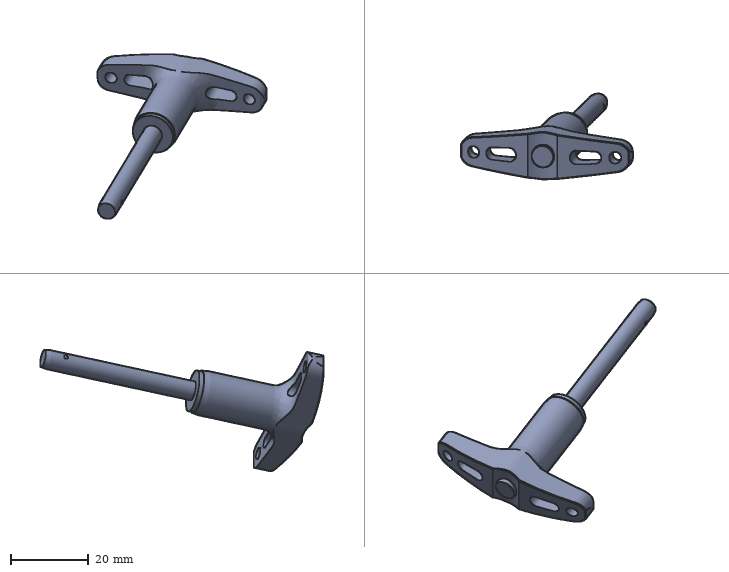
import cadquery as cq
import math

total_length = 72.6

pin_radius = 2.55
tip_radius = 2.3
tip_taper_length = 1.45
ball_radius = 0.8
ball_projection = 0.2
ball_y = 5.45

collar_radius = 5.45
collar_start = 40.95
barrel_radius = 5.9
barrel_start = 42.2
barrel_start_radius = 5.65
barrel_taper_end = 43.85
flare_radius = 4.3
barrel_top = 68.25

handle_width = 45.2
handle_half_length = handle_width / 2
hub_radius = 6.3
grip_end_radius = 3.9
grip_end_x = handle_half_length - grip_end_radius

crown_radius = 80.6
crown_y = 72.4
underside_y = 65.9
underside_outer_y = 65.05
end_corner_radius = 1.1
end_top_x = 22.2
groove_half_width = 3.9
groove_bottom_y = 71.4
top_edge_break = 0.2

hole_radius = 1.5
slot_inner_x = 8.9
slot_inner_radius = 1.8
slot_outer_x = 13.6
slot_outer_radius = 1.6

button_radius = 3.0
button_face_radius = 2.8
button_taper_length = 0.65


def crown_height(x):
    """Y of the crowned grip surface at a distance x from the pin axis."""
    return crown_y - crown_radius + math.sqrt(crown_radius**2 - x**2)


def tapered_outline(start_x, start_radius, end_x, end_radius):
    """XZ outline of two circles on the X axis joined by their common tangents."""
    sine = (start_radius - end_radius) / (end_x - start_x)
    cosine = math.sqrt(1 - sine**2)
    start_tangent = (start_x + start_radius * sine, start_radius * cosine)
    end_tangent = (end_x + end_radius * sine, end_radius * cosine)
    return (
        cq.Workplane("XZ")
        .moveTo(*start_tangent)
        .lineTo(*end_tangent)
        .threePointArc((end_x + end_radius, 0), (end_tangent[0], -end_tangent[1]))
        .lineTo(start_tangent[0], -start_tangent[1])
        .threePointArc((start_x - start_radius, 0), start_tangent)
        .close()
    )


def both_sides(shape):
    """The shape together with its mirror image across the YZ plane."""
    return shape.union(shape.mirror("YZ"))


def make_handle_profile():
    """XY profile with a crowned, grooved top and an arched underside, wider than the handle."""
    mid_x = (groove_half_width + end_top_x) / 2
    crown_mid = (mid_x, crown_height(mid_x))
    crown_end = (end_top_x, crown_height(end_top_x))
    groove_edge = (groove_half_width, crown_height(groove_half_width))
    corner_y = underside_outer_y + end_corner_radius
    underside_outer_x = handle_half_length - end_corner_radius
    return (
        cq.Workplane("XY")
        .moveTo(-groove_edge[0], groove_edge[1])
        .threePointArc((0, groove_bottom_y), groove_edge)
        .threePointArc(crown_mid, crown_end)
        .lineTo(handle_half_length, corner_y)
        .radiusArc((underside_outer_x, underside_outer_y), end_corner_radius)
        .threePointArc((0, underside_y), (-underside_outer_x, underside_outer_y))
        .radiusArc((-handle_half_length, corner_y), end_corner_radius)
        .lineTo(-crown_end[0], crown_end[1])
        .threePointArc((-crown_mid[0], crown_mid[1]), (-groove_edge[0], groove_edge[1]))
        .close()
        .extrude(handle_half_length, both=True)
    )


def make_handle():
    """Handle flared into the barrel, cut to its tapered outline, with the top edges broken."""
    profile = make_handle_profile().union(make_turned_body())
    joint_reach = barrel_radius + flare_radius
    barrel_joint = cq.selectors.BoxSelector(
        (-joint_reach, underside_outer_y, -joint_reach),
        (joint_reach, barrel_top, joint_reach),
        boundingbox=True,
    )
    profile = profile.edges(barrel_joint).fillet(flare_radius)

    outline = both_sides(tapered_outline(0, hub_radius, grip_end_x, grip_end_radius).extrude(-total_length))
    handle = profile.intersect(outline)
    top_faces = cq.selectors.BoxSelector(
        (-handle_half_length, crown_height(end_top_x), -hub_radius),
        (handle_half_length, total_length, hub_radius),
    )
    outer_edges = [
        edge
        for edge in handle.faces(top_faces).edges().vals()
        if abs(edge.Center().z) > top_edge_break or abs(edge.Center().x) > groove_half_width + top_edge_break
    ]
    return handle.newObject(outer_edges).chamfer(top_edge_break)


def make_turned_body():
    """Pin, collar and barrel as one revolved shape; the barrel ends inside the handle."""
    return (
        cq.Workplane("XY")
        .polyline(
            [
                (0, 0),
                (tip_radius, 0),
                (pin_radius, tip_taper_length),
                (pin_radius, collar_start),
                (collar_radius, collar_start),
                (collar_radius, barrel_start),
                (barrel_start_radius, barrel_start),
                (barrel_radius, barrel_taper_end),
                (barrel_radius, barrel_top),
                (0, barrel_top),
            ]
        )
        .close()
        .revolve(360, (0, 0, 0), (0, 1, 0))
    )


def make_button():
    """Release button seated in the groove of the handle."""
    return (
        cq.Workplane("XY")
        .polyline(
            [
                (0, underside_y),
                (button_radius, underside_y),
                (button_radius, total_length - button_taper_length),
                (button_face_radius, total_length),
                (0, total_length),
            ]
        )
        .close()
        .revolve(360, (0, 0, 0), (0, 1, 0))
    )


def make_openings():
    """Round hole and tapered slot through each arm of the handle."""
    slot = tapered_outline(slot_inner_x, slot_inner_radius, slot_outer_x, slot_outer_radius)
    hole = cq.Workplane("XZ").center(grip_end_x, 0).circle(hole_radius)
    return both_sides(slot.extrude(-total_length).union(hole.extrude(-total_length)))


def make_balls():
    """Locking balls standing slightly proud of the pin."""
    ball_x = pin_radius + ball_projection - ball_radius
    return both_sides(cq.Workplane("XY").sphere(ball_radius).translate((ball_x, ball_y, 0)))


result = make_handle().cut(make_openings()).union(make_button()).union(make_balls())